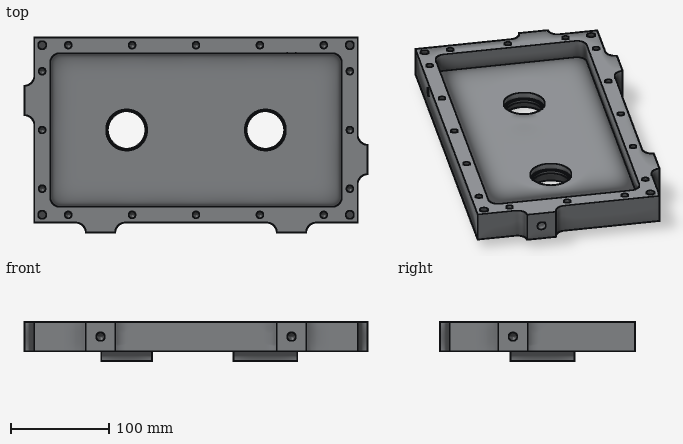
import cadquery as cq
import math

lug_reach = 10.0
lug_width = 30.0
front_lug_x = 97.3
side_lug_y = 30.0

overall_length = 350.0
length = overall_length - 2 * lug_reach
width = 189.0
height = 30.0

wall = 16.0
floor = 10.5
corner_radius = 10.0

bore_x = 70.7
seat_diameter = 42.0
seat_depth = 6.5
step_diameter = 40.2
step_depth = 7.5
neck_diameter = 38.0
pad_height = 9.8
small_pad = 52.0
large_pad = 65.5
recess_diameter = 52.5
recess_depth = 2.8

hole_inset = wall / 2
screw_diameter = 7.0
screw_depth = 17.5
screw_pitch_x = 65.0
screw_steps_x = (-2, -1, 0, 1, 2)
screw_pitch_y = 60.0
screw_steps_y = (-1, 0, 1)
pin_diameter = 8.5
pin_depth = 17.5

tip_angle = 118

port_diameter = 8.8
port_depth = 17.5
vent_z = 19.2


def drill(origin, direction, diameter, depth):
    """Blind drilled hole: a cylinder of the given depth with a conical tip."""
    radius = diameter / 2
    tip = radius / math.tan(math.radians(tip_angle / 2))
    profile = [(0, 0), (radius, 0), (radius, depth), (0, depth + tip)]
    solid = cq.Workplane("XZ").polyline(profile).close().revolve(360, (0, 0), (0, 1)).val()
    plane = cq.Plane(origin=origin, normal=direction)
    return solid.moved(cq.Location(plane))


def disc(x, bottom, diameter, thickness):
    """Upright cylinder on the X axis, standing on the level Z = bottom."""
    return cq.Workplane("XY", origin=(x, 0, bottom)).circle(diameter / 2).extrude(thickness)


def lug(x, y, angle):
    """Lug growing from the wall point (x, y), pointing -Y before it is turned by angle."""
    half = lug_width / 2
    bend = lug_reach * math.sqrt(0.5)
    flare = half + lug_reach
    return (
        cq.Workplane("XY")
        .moveTo(-flare, wall / 2)
        .lineTo(-flare, 0)
        .threePointArc((-flare + bend, bend - lug_reach), (-half, -lug_reach))
        .lineTo(half, -lug_reach)
        .threePointArc((flare - bend, bend - lug_reach), (flare, 0))
        .lineTo(flare, wall / 2)
        .close()
        .extrude(height)
        .rotate((0, 0, 0), (0, 0, 1), angle)
        .translate((x, y, 0))
    )


result = cq.Workplane("XY").box(length, width, height, centered=(True, True, False))
for x, y, angle in [
    (-front_lug_x, -width / 2, 0),
    (front_lug_x, -width / 2, 0),
    (-length / 2, side_lug_y, -90),
    (length / 2, -side_lug_y, 90),
]:
    result = result.union(lug(x, y, angle))

pocket = (
    cq.Workplane("XY", origin=(0, 0, floor))
    .rect(length - 2 * wall, width - 2 * wall)
    .extrude(height)
    .edges("|Z")
    .fillet(corner_radius)
)
result = result.cut(pocket)

for x, size in [(-bore_x, small_pad), (bore_x, large_pad)]:
    pad = cq.Workplane("XY").center(x, 0).rect(size, size).extrude(-pad_height)
    result = result.union(pad)
    for diameter, depth in [
        (neck_diameter, floor),
        (step_diameter, step_depth),
        (seat_diameter, seat_depth),
    ]:
        result = result.cut(disc(x, floor - depth, diameter, depth))
    result = result.cut(disc(x, -pad_height, seat_diameter, pad_height))
result = result.cut(disc(bore_x, -pad_height, recess_diameter, recess_depth))

hole_x = length / 2 - hole_inset
hole_y = width / 2 - hole_inset
screws = [(i * screw_pitch_x, side * hole_y) for i in screw_steps_x for side in (-1, 1)]
screws += [(side * hole_x, i * screw_pitch_y) for i in screw_steps_y for side in (-1, 1)]
for x, y in screws:
    result = result.cut(cq.Workplane(drill((x, y, height), (0, 0, -1), screw_diameter, screw_depth)))

pins = (
    cq.Workplane("XY", origin=(0, 0, height))
    .rect(2 * hole_x, 2 * hole_y, forConstruction=True)
    .vertices()
    .circle(pin_diameter / 2)
    .extrude(-pin_depth)
)
result = result.cut(pins)

front = -width / 2 - lug_reach
side = length / 2 + lug_reach
for origin, direction in [
    ((-front_lug_x, front, height / 2), (0, 1, 0)),
    ((front_lug_x, front, height / 2), (0, 1, 0)),
    ((-side, side_lug_y, height / 2), (1, 0, 0)),
    ((side, -side_lug_y, height / 2), (-1, 0, 0)),
]:
    result = result.cut(cq.Workplane(drill(origin, direction, port_diameter, port_depth)))

vent = (
    cq.Workplane("XZ", origin=(front_lug_x, width / 2, vent_z))
    .circle(port_diameter / 2)
    .extrude(wall)
)
result = result.cut(vent)